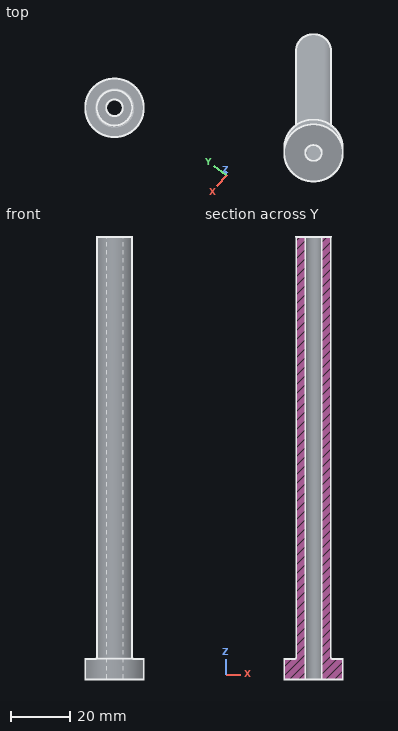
import cadquery as cq

total_length = 150.0
head_diameter = 20.0
head_height = 7.0
shaft_diameter = 12.0
bore_diameter = 5.5
neck_fillet_radius = 0.5

head = cq.Workplane("XY").circle(head_diameter / 2).extrude(head_height)

shaft = cq.Workplane("XY").circle(shaft_diameter / 2).extrude(total_length)
sleeve = head.union(shaft)

head_top = sleeve.faces("|Z").faces(">Z[-2]")
neck_edge = head_top.edges(cq.selectors.RadiusNthSelector(0))
sleeve = neck_edge.fillet(neck_fillet_radius)

bore = cq.Workplane("XY").circle(bore_diameter / 2).extrude(total_length)
result = sleeve.cut(bore)